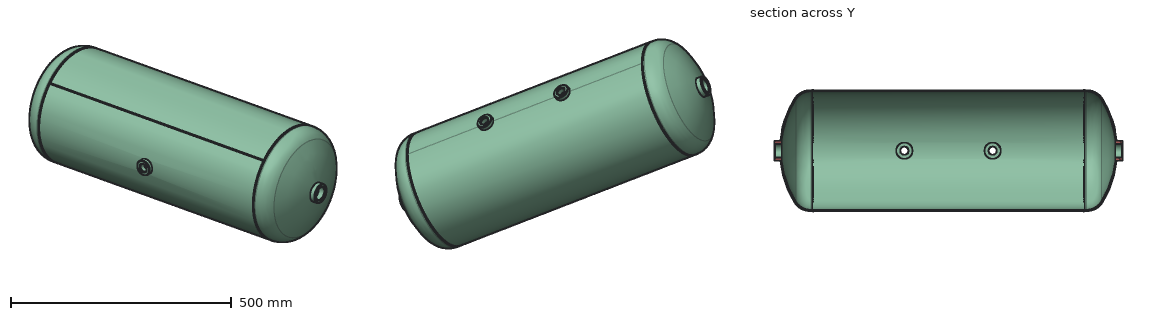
import cadquery as cq
import math

OUTER_DIAMETER = 276.0
WALL = 4.0
OVERALL_LENGTH = 790.0
TANK_WIDTH_OVER_SOCKETS = 296.0

CROWN_RADIUS = 225.0
KNUCKLE_RADIUS = 44.0
FLANGE_START = 312.5
FLANGE_LENGTH = 4

GROOVE_WIDTH = 2.5
GROOVE_DEPTH = 1.5
SEAM_ANGLE = 45.0

END_SOCKET_DIAMETER = 46.0
END_SOCKET_BORE = 30.0
SIDE_SOCKET_DIAMETER = 37.0
SIDE_SOCKET_BORE = 18.0
RIM_CHAMFER = 1.5
BORE_CHAMFER = 2.0
BORE_CHAMFER_ANGLE = 90.0
FRONT_SOCKET_POSITIONS = [0.0]
REAR_SOCKET_POSITIONS = [-100.0, 100.0]

OUTER_RADIUS = OUTER_DIAMETER / 2
INNER_RADIUS = OUTER_RADIUS - WALL
FLANGE_END = FLANGE_START - FLANGE_LENGTH
SHELL_LENGTH = 2 * FLANGE_END
GROOVE_RADIUS = OUTER_RADIUS - GROOVE_DEPTH
KNUCKLE_CENTRE_RADIUS = OUTER_RADIUS - KNUCKLE_RADIUS
BLEND_ANGLE = math.asin(KNUCKLE_CENTRE_RADIUS / (CROWN_RADIUS - KNUCKLE_RADIUS))
CROWN_CENTRE = FLANGE_START - (CROWN_RADIUS - KNUCKLE_RADIUS) * math.cos(BLEND_ANGLE)
END_SOCKET_FACE = OVERALL_LENGTH / 2
SIDE_SOCKET_FACE = TANK_WIDTH_OVER_SOCKETS / 2
END_SOCKET_ROOT = CROWN_CENTRE + math.sqrt((CROWN_RADIUS - WALL) ** 2 - (END_SOCKET_DIAMETER / 2) ** 2)
SIDE_SOCKET_ROOT = math.sqrt(INNER_RADIUS ** 2 - (SIDE_SOCKET_DIAMETER / 2) ** 2)


def polar(centre_x, centre_r, radius, angle):
    """Point on an arc in the X-radius plane, the angle being measured from +X."""
    return (centre_x + radius * math.cos(angle), centre_r + radius * math.sin(angle))


def dished_solid(offset):
    """Solid of revolution of the +X head, its surface moved inward by offset."""
    crown = CROWN_RADIUS - offset
    knuckle = KNUCKLE_RADIUS - offset
    knuckle_middle = (BLEND_ANGLE + math.pi / 2) / 2
    profile = (
        cq.Workplane("XZ")
        .moveTo(FLANGE_END, 0)
        .lineTo(CROWN_CENTRE + crown, 0)
        .threePointArc(
            polar(CROWN_CENTRE, 0, crown, BLEND_ANGLE / 2),
            polar(CROWN_CENTRE, 0, crown, BLEND_ANGLE),
        )
        .threePointArc(
            polar(FLANGE_START, KNUCKLE_CENTRE_RADIUS, knuckle, knuckle_middle),
            (FLANGE_START, OUTER_RADIUS - offset),
        )
        .lineTo(FLANGE_END, OUTER_RADIUS - offset)
        .close()
    )
    return profile.revolve(360, (0, 0, 0), (1, 0, 0))


def make_head():
    """Head at the +X end, holed for its end socket."""
    socket_hole = cq.Workplane("YZ").circle(END_SOCKET_DIAMETER / 2).extrude(END_SOCKET_FACE)
    return dished_solid(0).cut(dished_solid(WALL)).cut(socket_hole)


def make_socket(diameter, bore, root, face):
    """Socket along +X from root to face, chamfered at its outer rim and at the mouth of its bore."""
    return (
        cq.Workplane("YZ", origin=(root, 0, 0))
        .circle(diameter / 2)
        .extrude(face - root)
        .faces(">X")
        .chamfer(RIM_CHAMFER)
        .faces(">X")
        .workplane()
        .cskHole(bore, bore + 2 * BORE_CHAMFER, BORE_CHAMFER_ANGLE)
    )


def side_location(position, side):
    """Location turning +X to point along side (+1 or -1) times Y, at a place along the tank."""
    return cq.Location(cq.Vector(position, 0, 0), cq.Vector(0, 0, 1), side * 90)


def tube(outer_radius, inner_radius, length):
    """Tube along X, centred on the origin."""
    ring = cq.Workplane("YZ", origin=(-length / 2, 0, 0)).circle(outer_radius).circle(inner_radius)
    return ring.extrude(length)


def make_shell():
    """Rolled shell with weld grooves at its seam and ends, and holes for the side sockets."""
    full_height_length = SHELL_LENGTH - 2 * GROOVE_WIDTH
    shell = tube(OUTER_RADIUS, INNER_RADIUS, full_height_length)
    seam_cut = (
        cq.Workplane("XY")
        .box(SHELL_LENGTH, 2 * WALL, GROOVE_WIDTH)
        .translate((0, -OUTER_RADIUS, 0))
        .rotate((0, 0, 0), (1, 0, 0), -SEAM_ANGLE)
    )
    shell = shell.cut(seam_cut).union(tube(GROOVE_RADIUS, INNER_RADIUS, SHELL_LENGTH))
    socket_hole = cq.Workplane("YZ").circle(SIDE_SOCKET_DIAMETER / 2).extrude(SIDE_SOCKET_FACE)
    for location in side_locations:
        shell = shell.cut(cq.Workplane(socket_hole.val().moved(location)))
    return shell


side_locations = [side_location(position, -1) for position in FRONT_SOCKET_POSITIONS]
side_locations += [side_location(position, 1) for position in REAR_SOCKET_POSITIONS]

shell = make_shell()

head = make_head()
heads = [head.val(), head.mirror("YZ").val()]

end_socket = make_socket(END_SOCKET_DIAMETER, END_SOCKET_BORE, END_SOCKET_ROOT, END_SOCKET_FACE)
end_sockets = [end_socket.val(), end_socket.mirror("YZ").val()]

side_socket = make_socket(SIDE_SOCKET_DIAMETER, SIDE_SOCKET_BORE, SIDE_SOCKET_ROOT, SIDE_SOCKET_FACE)
side_sockets = [side_socket.val().moved(location) for location in side_locations]

result = cq.Compound.makeCompound([shell.val(), *heads, *end_sockets, *side_sockets])